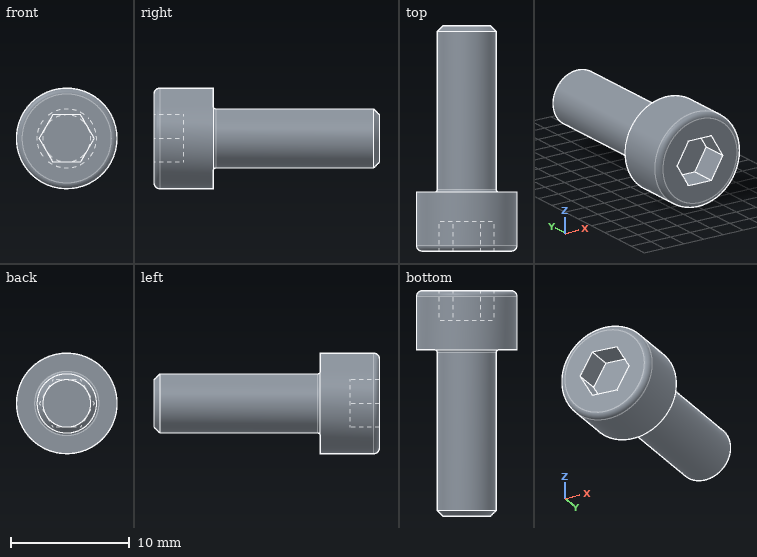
import cadquery as cq
import math

total_length = 19.0
head_height = 5.0
head_diameter = 8.5
head_edge_radius = 0.5
shank_diameter = 5.0
tip_chamfer = 0.5
neck_fillet = 0.2
socket_across_flats = 4.0
socket_depth = 2.5

shank_length = total_length - head_height
socket_across_corners = socket_across_flats / math.cos(math.pi / 6)


def cylinder_along_y(diameter, start_y, end_y):
    profile = cq.Workplane("XZ", origin=(0, start_y, 0)).circle(diameter / 2)
    return profile.extrude(start_y - end_y)


head = cylinder_along_y(head_diameter, -head_height, 0)
head = head.faces("<Y").edges().fillet(head_edge_radius)

shank = cylinder_along_y(shank_diameter, 0, shank_length)
shank = shank.faces(">Y").edges().chamfer(tip_chamfer)

screw = head.union(shank)
screw = screw.faces("%CYLINDER").faces(">Y")
screw = screw.edges("<Y").fillet(neck_fillet)

socket = (
    cq.Workplane("XZ", origin=(0, -head_height, 0))
    .polygon(6, socket_across_corners)
    .extrude(-socket_depth)
)
result = screw.cut(socket)